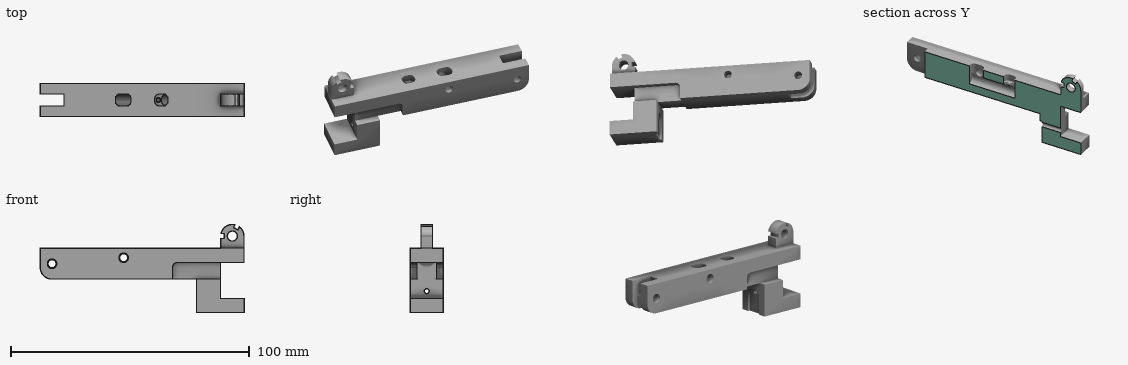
import cadquery as cq

beam_length = 85.5
width = 14.0
beam_height = 13.0
beam_bottom = 14.0
beam_top = beam_bottom + beam_height
nose_radius = 5.0

thin_height = 6.0
thin_bottom = beam_top - thin_height
web_start = 55.5
web_end = 75.6
web_width = 8.0
relief_radius = 2.0

foot_start = 65.5
foot_end = 85.6
foot_thickness = 6.0
arch_width = 7.0
arch_depth = 1.0
arch_center_z = 7.0
foot_hole_diameter = 2.0
foot_hole_height = 9.0

lug_width = 5.0
lug_radius = 4.9
lug_x = 80.55
lug_top = 36.99
lug_z = lug_top - lug_radius
lug_hole_diameter = 4.11
notch_width = 2.0
notch_floor = 3.4
notch_angles = (65.0, 180.0)

clevis_depth = 10.0
clevis_width = 5.0
clearance_diameter = 4.0
tapping_diameter = 3.33
cross_holes = ((5.0, beam_top - 6.5), (35.0, beam_top - 4.0))

pocket_width = 5.0
pocket_radius = 2.0
front_pocket_start = 31.6
front_pocket_end = 38.1
rear_pocket_start = 48.0
rear_pocket_end = 53.5
ledge_depth = 3.1
opening_start = 50.95
bore_diameter = pocket_width
bore_z = beam_bottom + beam_height / 2
set_screw_x = 49.5
set_screw_diameter = 1.62
set_screw_lead_in = 2.07
lead_in_depth = 0.4


def box(x_start, x_end, y_size, z_start, z_end):
    """Box centred on y = 0 between the given x and z limits."""
    block = cq.Workplane("XY").box(x_end - x_start, y_size, z_end - z_start, centered=(False, True, False))
    return block.translate((x_start, 0, z_start))


def rod_y(x, z, diameter, y_start, y_end):
    """Cylinder along y between the given y limits."""
    plane = cq.Workplane("XZ", origin=(x, y_start, z))
    return plane.circle(diameter / 2).extrude(y_start - y_end)


def rod_x(z, diameter, x_start, x_end):
    """Cylinder along x on the centre plane."""
    plane = cq.Workplane("YZ", origin=(x_start, 0, z))
    return plane.circle(diameter / 2).extrude(x_end - x_start)


def pocket(x_start, x_end, z_floor):
    """Vertical pocket with rounded corners from the top face down to z_floor."""
    block = box(x_start, x_end, pocket_width, z_floor, beam_top)
    return block.edges("|Z").fillet(pocket_radius)


def make_beam():
    """Bar with a rounded nose, thinned at the far end above a narrow web."""
    beam = box(0, beam_length, width, beam_bottom, beam_top)
    beam = beam.edges("|Y").edges("<X and <Z").fillet(nose_radius)
    relief = box(web_start, foot_end, width, beam_bottom, thin_bottom)
    relief = relief.edges("|Y").edges("<X and >Z").fillet(relief_radius)
    web = box(web_start, web_end, web_width, beam_bottom, thin_bottom)
    return beam.cut(relief).union(web)


def make_foot():
    """L-shaped foot with a shallow arched recess and a small hole along x."""
    foot = box(foot_start, web_end, width, 0, beam_bottom)
    foot = foot.union(box(foot_start, foot_end, width, 0, foot_thickness))
    arch_end = foot_start + arch_depth
    arch = box(foot_start, arch_end, arch_width, 0, arch_center_z)
    arch = arch.union(rod_x(arch_center_z, arch_width, foot_start, arch_end))
    return foot.cut(arch).cut(rod_x(foot_hole_height, foot_hole_diameter, foot_start, web_end))


def make_lug():
    """Round-topped lug with a cross hole and two radial notches."""
    half = lug_width / 2
    lug = box(lug_x - lug_radius, lug_x + lug_radius, lug_width, beam_top, lug_z)
    lug = lug.union(rod_y(lug_x, lug_z, 2 * lug_radius, -half, half))
    lug = lug.cut(rod_y(lug_x, lug_z, lug_hole_diameter, -half, half))
    for angle in notch_angles:
        notch = box(notch_floor, 2 * lug_radius, lug_width, -notch_width / 2, notch_width / 2)
        notch = notch.rotate((0, 0, 0), (0, 1, 0), -angle)
        lug = lug.cut(notch.translate((lug_x, 0, lug_z)))
    return lug


def cut_clevis_and_cross_holes(body):
    """Slot in the nose and the two stepped holes along y."""
    body = body.cut(box(0, clevis_depth, clevis_width, beam_bottom, beam_top))
    for x, z in cross_holes:
        body = body.cut(rod_y(x, z, clearance_diameter, -width / 2, 0))
        body = body.cut(rod_y(x, z, tapping_diameter, 0, width / 2))
    return body


def cut_pockets(body):
    """Two top pockets over a bore; the rear one keeps a ledge with a set screw hole."""
    ledge_z = beam_top - ledge_depth
    ledge_pocket = pocket(rear_pocket_start, rear_pocket_end, ledge_z)
    full_pocket = pocket(rear_pocket_start, rear_pocket_end, bore_z)
    opening = box(opening_start, beam_length, pocket_width, bore_z, beam_top)
    opening = opening.edges("|Z").edges("<X").fillet(pocket_radius).intersect(full_pocket)
    screw = cq.Workplane("XY", origin=(set_screw_x, 0, bore_z))
    screw = screw.circle(set_screw_diameter / 2).extrude(ledge_z - bore_z)
    lead_in = cq.Workplane("XY", origin=(set_screw_x, 0, ledge_z - lead_in_depth))
    screw = screw.union(lead_in.circle(set_screw_lead_in / 2).extrude(lead_in_depth))
    body = body.cut(rod_x(bore_z, bore_diameter, front_pocket_start, rear_pocket_end))
    body = body.cut(pocket(front_pocket_start, front_pocket_end, bore_z))
    return body.cut(ledge_pocket).cut(opening).cut(screw)


body = make_beam().union(make_foot()).union(make_lug())
body = cut_clevis_and_cross_holes(body)
result = cut_pockets(body)